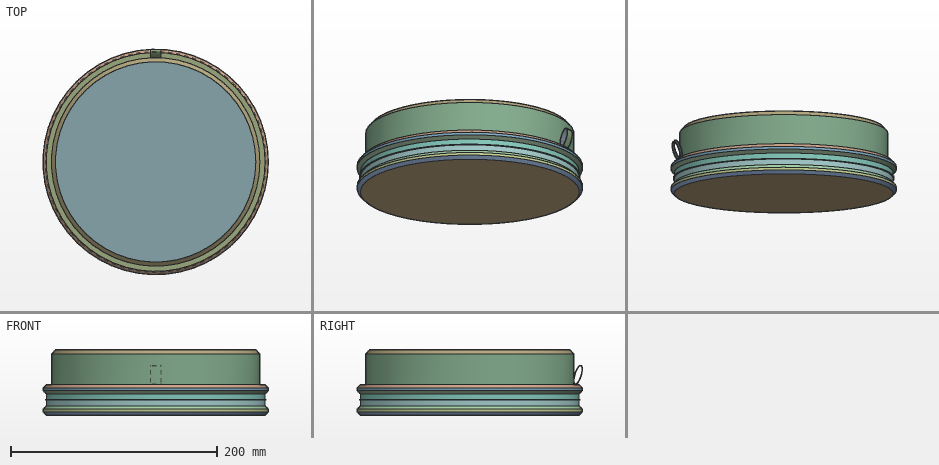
import cadquery as cq

flange_diameter = 218.5
groove_diameter = 211.8
cap_diameter = 201.8
total_height = 63.5

bevel = 3.3
rim_height = 2.6
flange_height = rim_height + 2 * bevel
flanged_height = 29.7

cap_bevel_width = 4.0
cap_bevel_height = 4.4

seal_diameter = 214.0
seal_thickness = 0.5
base_height = (flanged_height - seal_thickness) / 2
lid_bottom = base_height + seal_thickness
neck_height = base_height - flange_height

loop_width = 10.0
loop_thickness = 0.5
loop_long_radius = 9.6
loop_short_radius = 3.3
loop_tilt = 17.0
loop_center_y = 104.8
loop_center_z = 39.0


def disc(diameter, height, bottom):
    return cq.Workplane("XY").workplane(offset=bottom).circle(diameter / 2).extrude(height)


def flange(bottom):
    """Full-diameter disc beveled down to the groove diameter at both faces."""
    bevel_width = (flange_diameter - groove_diameter) / 2
    return (
        disc(flange_diameter, flange_height, bottom)
        .faces("<Z or >Z")
        .edges()
        .chamfer(bevel, bevel_width)
    )


def make_base():
    neck = disc(groove_diameter, neck_height, flange_height)
    return flange(0).union(neck)


def make_seal():
    return disc(seal_diameter, seal_thickness, base_height)


def make_lid():
    neck = disc(groove_diameter, neck_height, lid_bottom)
    cap_side_height = total_height - cap_bevel_height - flanged_height
    cap_side = disc(cap_diameter, cap_side_height, flanged_height)
    top_radius = cap_diameter / 2 - cap_bevel_width
    cap_top = (
        cap_side.faces(">Z")
        .workplane()
        .circle(cap_diameter / 2)
        .workplane(offset=cap_bevel_height)
        .circle(top_radius)
        .loft(combine=False)
    )
    return flange(lid_bottom + neck_height).union(neck).union(cap_side).union(cap_top)


def loop_ellipse(inset):
    """Elliptical prism across X, shrunk inward by the given inset."""
    return (
        cq.Workplane("YZ")
        .workplane(offset=-loop_width / 2)
        .center(loop_center_y, loop_center_z)
        .ellipse(loop_short_radius - inset, loop_long_radius - inset, rotation_angle=-loop_tilt)
        .extrude(loop_width)
    )


def make_pull_loop(lid):
    """Strip loop trimmed where it meets the side of the cap."""
    return loop_ellipse(0).cut(loop_ellipse(loop_thickness)).cut(lid)


base = make_base()
seal = make_seal()
lid = make_lid()
pull_loop = make_pull_loop(lid)

result = cq.Compound.makeCompound(
    [base.solids().val(), seal.solids().val(), lid.solids().val(), pull_loop.solids().val()]
)